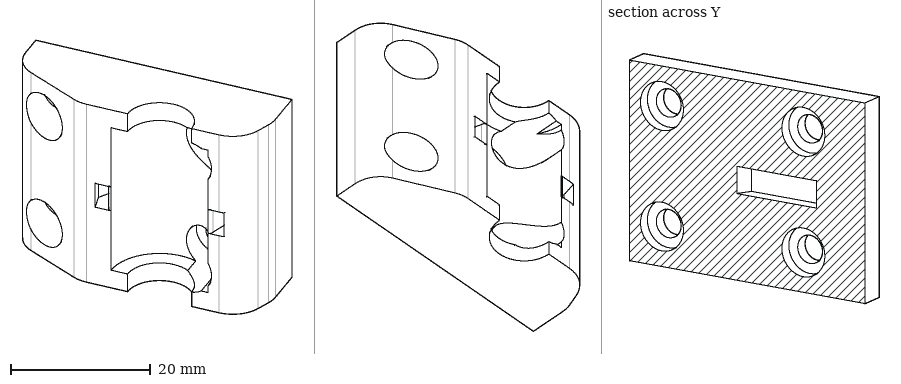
import cadquery as cq

width = 40.0
depth = 13.0
height = 30.0

left_corner_radius = 5.2
corner_radius = 5.0
left_slope_top = 6.1
left_slope_foot = -7.55
right_slope_top = 6.2
right_slope_foot = 17.75

bore_x = 5.0
bore_diameter = 10.0
pocket_diameter = 15.1
pocket_height = 24.0

hole_diameter = 4.2
counterbore_diameter = 7.2
counterbore_floor = 11.0
hole_spacing_x = 24.0
hole_spacing_z = 18.0
left_hole_x = -14.5

channel_height = 4.0
outer_mouth = 10.05
outer_knee = (10.7, 2.6)
outer_back = (5.5, 11.2)
inner_lip = (7.55, 0.05)
inner_lip_middle = (7.95, 0.15)
inner_lip_end = (8.1, 0.55)
inner_knee = (8.9, 3.2)
inner_back = (5.3, 9.2)
mouth_overshoot = 0.4


def make_body():
    half = width / 2
    left_corner = (-half, left_slope_top)
    slope_foot = (left_slope_foot, 0)
    right_foot = (right_slope_foot, 0)
    right_corner = (half, right_slope_top)
    body = (
        cq.Workplane("XY", origin=(0, 0, -height / 2))
        .polyline([(-half, depth), left_corner, slope_foot, right_foot, right_corner, (half, depth)])
        .close()
        .extrude(height)
    )
    roundings = [
        (left_corner, left_corner_radius),
        (slope_foot, corner_radius),
        (right_foot, corner_radius),
        (right_corner, corner_radius),
    ]
    for (x, y), radius in roundings:
        corner_edge = cq.selectors.NearestToPointSelector((x, y, 0))
        body = body.edges("|Z").edges(corner_edge).fillet(radius)
    return body


def bore_cylinder(diameter, length):
    return (
        cq.Workplane("XY", origin=(0, 0, -length / 2))
        .center(bore_x, 0)
        .circle(diameter / 2)
        .extrude(length)
    )


def screw_cylinders(diameter, length):
    """Four cylinders running back from the split face."""
    centre_x = left_hole_x + hole_spacing_x / 2
    return (
        cq.Workplane("XZ")
        .center(centre_x, 0)
        .rarray(hole_spacing_x, hole_spacing_z, 2, 2)
        .circle(diameter / 2)
        .extrude(-length)
    )


def mirrored(point):
    return (-point[0], point[1])


def make_strap_channel():
    """Faceted channel that passes behind the pocket and opens on both sides of it."""
    return (
        cq.Workplane("XY", origin=(0, 0, -channel_height / 2))
        .center(bore_x, 0)
        .moveTo(-outer_mouth, -mouth_overshoot)
        .lineTo(-outer_mouth, 0)
        .lineTo(*mirrored(outer_knee))
        .lineTo(*mirrored(outer_back))
        .lineTo(*outer_back)
        .lineTo(*outer_knee)
        .lineTo(outer_mouth, 0)
        .lineTo(outer_mouth, -mouth_overshoot)
        .lineTo(inner_lip[0], -mouth_overshoot)
        .lineTo(*inner_lip)
        .threePointArc(inner_lip_middle, inner_lip_end)
        .lineTo(*inner_knee)
        .lineTo(*inner_back)
        .lineTo(*mirrored(inner_back))
        .lineTo(*mirrored(inner_knee))
        .lineTo(*mirrored(inner_lip_end))
        .threePointArc(mirrored(inner_lip_middle), mirrored(inner_lip))
        .lineTo(-inner_lip[0], -mouth_overshoot)
        .close()
        .extrude(channel_height)
    )


result = (
    make_body()
    .cut(bore_cylinder(bore_diameter, height))
    .cut(bore_cylinder(pocket_diameter, pocket_height))
    .cut(make_strap_channel())
    .cut(screw_cylinders(counterbore_diameter, counterbore_floor))
    .cut(screw_cylinders(hole_diameter, depth))
)